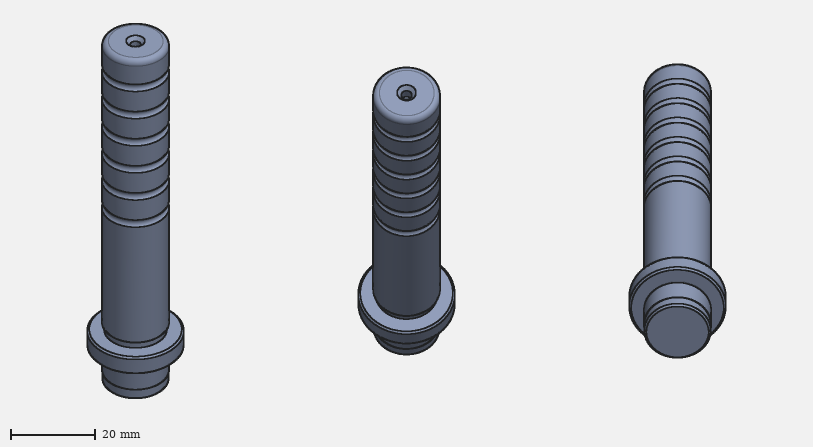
import cadquery as cq
import math

total_length = 100.0
shaft_radius = 8.0
top_round = 1.5

flange_radius = 11.5
flange_bottom = 10.0
flange_top = 15.0
flange_chamfer = 0.5

neck_radius = 7.5
upper_neck_top = 17.0
lower_neck_bottom = 9.0
neck_chamfer = shaft_radius - neck_radius
lower_neck_fillet = 0.15

lead_radius = 7.9
lead_length = 3.0
bottom_chamfer = 0.5

groove_count = 6
groove_pitch = 8.0
groove_width = 2.1
groove_depth = 0.6
first_groove_below_top = 8.0

centre_mouth_radius = 2.25
centre_pilot_radius = 1.25
centre_cone_angle = 90.0
centre_pilot_length = 2.5
centre_tip_angle = 120.0


def cone_depth(radius_change, included_angle):
    """Axial length of a cone that changes radius by the given amount."""
    return radius_change / math.tan(math.radians(included_angle / 2))


def revolve_about_z(profile):
    """Turn a closed radius-height profile into a solid of revolution."""
    return profile.close().revolve(360, (0, 0, 0), (0, 1, 0))


def make_body():
    """Spigot, flange and shaft, without grooves or centre hole."""
    profile = (
        cq.Workplane("XZ")
        .moveTo(0, 0)
        .lineTo(lead_radius - bottom_chamfer, 0)
        .lineTo(lead_radius, bottom_chamfer)
        .lineTo(lead_radius, lead_length)
        .lineTo(shaft_radius, lead_length)
        .lineTo(shaft_radius, lower_neck_bottom)
        .lineTo(neck_radius + lower_neck_fillet, lower_neck_bottom)
        .radiusArc((neck_radius, lower_neck_bottom + lower_neck_fillet), lower_neck_fillet)
        .lineTo(neck_radius, flange_bottom - lower_neck_fillet)
        .radiusArc((neck_radius + lower_neck_fillet, flange_bottom), lower_neck_fillet)
        .lineTo(flange_radius - flange_chamfer, flange_bottom)
        .lineTo(flange_radius, flange_bottom + flange_chamfer)
        .lineTo(flange_radius, flange_top - flange_chamfer)
        .lineTo(flange_radius - flange_chamfer, flange_top)
        .lineTo(neck_radius, flange_top)
        .lineTo(neck_radius, upper_neck_top - neck_chamfer)
        .lineTo(shaft_radius, upper_neck_top)
        .lineTo(shaft_radius, total_length - top_round)
        .radiusArc((shaft_radius - top_round, total_length), -top_round)
        .lineTo(0, total_length)
    )
    return revolve_about_z(profile)


def make_groove_cutter(centre_height):
    """Ring whose arc-shaped inner side cuts one oil groove."""
    half_width = groove_width / 2
    floor_radius = shaft_radius - groove_depth
    profile = (
        cq.Workplane("XZ")
        .moveTo(shaft_radius, centre_height - half_width)
        .threePointArc((floor_radius, centre_height), (shaft_radius, centre_height + half_width))
        .lineTo(flange_radius, centre_height + half_width)
        .lineTo(flange_radius, centre_height - half_width)
    )
    return revolve_about_z(profile)


def make_centre_hole_cutter():
    """Conical mouth, short pilot bore and drill-point tip."""
    cone_height = cone_depth(centre_mouth_radius - centre_pilot_radius, centre_cone_angle)
    cone_bottom = total_length - cone_height
    pilot_bottom = cone_bottom - centre_pilot_length
    tip_bottom = pilot_bottom - cone_depth(centre_pilot_radius, centre_tip_angle)
    profile = (
        cq.Workplane("XZ")
        .moveTo(0, total_length)
        .lineTo(centre_mouth_radius, total_length)
        .lineTo(centre_pilot_radius, cone_bottom)
        .lineTo(centre_pilot_radius, pilot_bottom)
        .lineTo(0, tip_bottom)
    )
    return revolve_about_z(profile)


result = make_body()
for index in range(groove_count):
    groove_height = total_length - first_groove_below_top - index * groove_pitch
    result = result.cut(make_groove_cutter(groove_height))
result = result.cut(make_centre_hole_cutter())